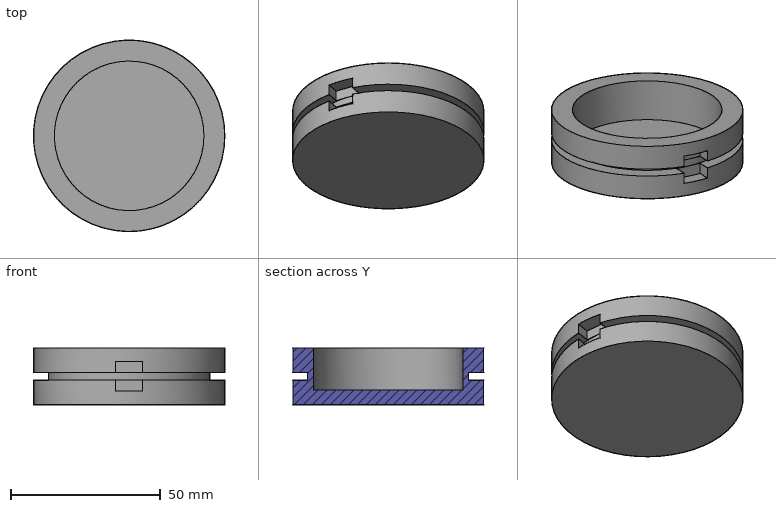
import cadquery as cq

outer_diameter = 64.0
height = 19.0
cavity_diameter = 50.0
floor_thickness = 5.0

groove_width = 2.5
groove_diameter = 54.0

notch_width = 9.0
notch_height = 9.85

mid_height = height / 2


def disc(diameter, thickness, base):
    """Solid disc on the Z axis with its underside at the given height."""
    return cq.Workplane("XY").workplane(offset=base).circle(diameter / 2).extrude(thickness)


body = disc(outer_diameter, height, 0)
cavity = disc(cavity_diameter, height - floor_thickness, floor_thickness)
body = body.cut(cavity)

groove = disc(outer_diameter, groove_width, mid_height - groove_width / 2)
groove = groove.cut(disc(groove_diameter, height, 0))
body = body.cut(groove)

notch_depth = (outer_diameter - groove_diameter) / 2
notch_center = (outer_diameter - notch_depth) / 2
for side in (-1, 1):
    notch = cq.Workplane("XY").box(notch_width, notch_depth, notch_height)
    body = body.cut(notch.translate((0, side * notch_center, mid_height)))

result = body